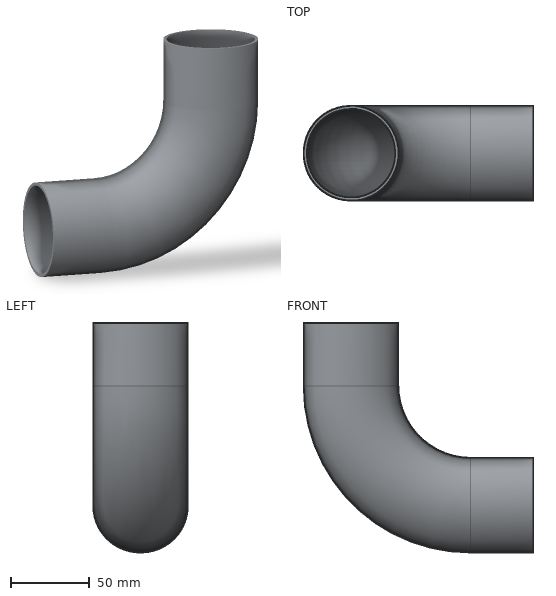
import cadquery as cq

overall_size = 146.2
outer_diameter = 60.4
wall = 2.0
straight_length = 40.0

outer_radius = outer_diameter / 2
inner_radius = outer_radius - wall
bend_radius = overall_size - straight_length - outer_radius
bend_angle = 90


def ring_on(plane):
    """Annular pipe cross-section centred on the given plane."""
    return cq.Workplane(plane).circle(outer_radius).circle(inner_radius)


top_joint = cq.Plane.XY()
side_joint = cq.Plane(origin=(bend_radius, 0, -bend_radius), xDir=(0, 1, 0), normal=(1, 0, 0))

vertical_end = ring_on(top_joint).extrude(straight_length)
horizontal_end = ring_on(side_joint).extrude(straight_length)

bend = ring_on(top_joint).revolve(bend_angle, (bend_radius, 0, 0), (bend_radius, -1, 0))

result = vertical_end.union(bend).union(horizontal_end)